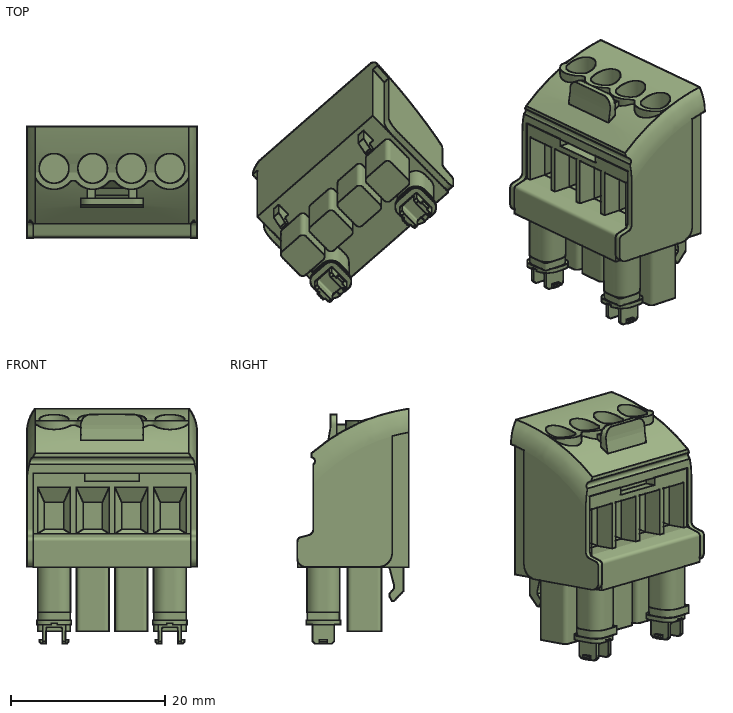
import cadquery as cq
import math


width = 22.1
pole_count = 4
pole_pitch = 5.0
pole_xs = [(i - (pole_count - 1) / 2) * pole_pitch for i in range(pole_count)]
outer_pole_xs = [pole_xs[0], pole_xs[-1]]

front_y = -14.47
wall_y = -12.4
ledge_face_y = -14.4
ledge_z = 4.37
ledge_nose_z = 3.82
ledge_round = 0.52
plate_thickness = 0.82
core_half = width / 2 - plate_thickness
plate_rear_y = -2.17
plate_rear_radius = 1.75
plate_front_radius = 1.07
plate_bottom_z = 0.1
plate_shoulder_z = ledge_z
plate_nose_z = ledge_nose_z
plate_shoulder_radius = 0.8
plate_nose_radius = 0.6

dome_y = 3.82
dome_radius = 25.28
housing_height = 20.6
dome_z = housing_height - math.sqrt(dome_radius**2 - dome_y**2)
dome_edge_drop = 3.05
dome_edge_inset = 1.07

lip_y = -12.65
lip_z = 14.32
groove_y = -11.78
groove_z = 13.85
groove_bottom_z = 13.37
groove_radius = 0.5

panel_depth = 0.15
panel_top_z = 12.2
notch_width = 7.08
notch_height = 1.05
notch_depth = 1.53
entry_width = 4.25
entry_bottom_z = ledge_z
entry_top_z = 10.38
entry_depth = 2.45
throat_width = 2.5
throat_bottom_z = 4.95
throat_top_z = 8.45
throat_depth = 0.9

well_y = -5.43
well_radius = 1.92
well_floor_z = 17.1
collar_radius = 2.72
collar_base_z = 15.25
collar_top_z = 19.05
collar_ramp_y = -4.85
collar_flat_y = -5.98
crease_radius = 0.6

lever_width = 8.05
lever_rear_y = -9.3
lever_front_y = -10.17
lever_step_y = -10.2
lever_base_y = -10.5
lever_base_z = 16.18
lever_step_z = 17.98
lever_shoulder_z = 18.5
lever_top_z = 19.85
lever_corner = 1.28
rib_inner_x = 2.2
rib_width = 1.0
rib_z = 18.55

pocket_rear_y = -6.78
pocket_toe_y = -8.03
pocket_front_y = -8.95
pocket_toe_z = 16.18
pocket_front_z = 15.72

socket_y = -5.75
socket_length = 4.45
socket_width = 4.25
socket_height = 8.27
socket_round = 0.58

post_y = -11.08
post_width = 4.27
post_round = 1.6
post_height = 5.83
neck_width = 4.2
neck_key_round = 0.25
flange_top_z = -6.85
flange_bottom_z = -7.42
flange_width = 4.5
flange_round = 1.22
flange_key_round = 1.98
flange_notch_width = 0.8
flange_notch_z = -7.2
clip_web = 0.3
clip_inner = 1.05
clip_outer = 1.5
clip_width = 2.87
clip_corner = 0.37
clip_fillet = 0.25
clip_bottom_z = -9.92
barb_reach = 0.4
barb_width = 1.07
barb_top_z = -9.35
barb_tip_z = -9.62
barb_root = 0.15

hook_width = 0.92
hook_back_y = -0.67
hook_notch_y = -1.92
hook_front_y = -2.53
hook_tip_z = -4.37
hook_tip_flat = 0.27
hook_heel_z = -3.05
hook_barb_low_z = -3.72
hook_barb_high_z = -3.42
hook_notch_low_z = -2.72
hook_notch_high_z = -2.32


def block(x0, x1, y0, y1, z0, z1):
    """Box between two opposite corners."""
    return cq.Workplane("XY").box(x1 - x0, y1 - y0, z1 - z0, centered=False).translate((x0, y0, z0))


def side_prism(outline, x0, x1):
    """Extrude a closed (y, z) outline from x0 to x1."""
    return cq.Workplane("YZ", origin=(x0, 0, 0)).polyline(outline).close().extrude(x1 - x0)


def round_edge(body, y, z, radius):
    """Fillet the edge along X that passes through (y, z)."""
    return body.edges(cq.selectors.NearestToPointSelector((0, y, z))).fillet(radius)


def dome_height(y):
    return dome_z + math.sqrt(dome_radius**2 - (y - dome_y)**2)


def drum(radius, half_width, edge_drop=0, edge_inset=0):
    """Solid of revolution about the dome axis, optionally with rounded rims."""
    outline = cq.Workplane("XY").moveTo(-half_width, 0).lineTo(-half_width, radius - edge_drop)
    if edge_drop:
        rim_radius = (edge_drop**2 + edge_inset**2) / (2 * edge_inset)
        half_angle = math.asin(edge_drop / rim_radius) / 2
        mid_x = half_width - rim_radius * (1 - math.cos(half_angle))
        mid_r = radius - edge_drop + rim_radius * math.sin(half_angle)
        shoulder_x = half_width - edge_inset
        outline = outline.threePointArc((-mid_x, mid_r), (-shoulder_x, radius)).lineTo(shoulder_x, radius)
        outline = outline.threePointArc((mid_x, mid_r), (half_width, radius - edge_drop))
    else:
        outline = outline.lineTo(half_width, radius)
    outline = outline.lineTo(half_width, 0).close()
    return outline.revolve(360, (0, 0), (1, 0)).translate((0, dome_y, dome_z))


above_dome_z = housing_height + 0.3
upper_front = [
    (wall_y, groove_bottom_z),
    (groove_y, groove_z),
    (lip_y, lip_z),
    (lip_y, above_dome_z),
]


def make_core():
    outline = [
        (0, 0),
        (ledge_face_y, 0),
        (ledge_face_y, ledge_nose_z),
        (wall_y, ledge_z),
        *upper_front,
        (0, above_dome_z),
    ]
    core = side_prism(outline, -core_half, core_half)
    core = round_edge(core, ledge_face_y, ledge_nose_z, ledge_round)
    return round_edge(core, groove_y, groove_z, groove_radius)


def make_plates():
    """The two side plates, shaped as one full-width bar that is then hollowed between them."""
    outline = [
        (plate_rear_y, plate_bottom_z),
        (front_y, plate_bottom_z),
        (front_y, plate_nose_z),
        (wall_y, plate_shoulder_z),
        *upper_front,
        (plate_rear_y, above_dome_z),
    ]
    plates = side_prism(outline, -width / 2, width / 2)
    plates = round_edge(plates, plate_rear_y, plate_bottom_z, plate_rear_radius)
    plates = round_edge(plates, front_y, plate_bottom_z, plate_front_radius)
    plates = round_edge(plates, front_y, plate_nose_z, plate_nose_radius)
    plates = round_edge(plates, wall_y, plate_shoulder_z, plate_shoulder_radius)
    plates = round_edge(plates, groove_y, groove_z, groove_radius)
    return plates.cut(block(-core_half, core_half, front_y, 0, 0, above_dome_z))


def make_rear_caps():
    """Band under the dome that carries its rounded rim back to the rear face."""
    strip = block(-width / 2, width / 2, plate_rear_y, 0, 0, above_dome_z)
    return strip.cut(drum(dome_radius - dome_edge_drop, width))


def make_housing():
    dome = drum(dome_radius, width / 2, dome_edge_drop, dome_edge_inset)
    return make_core().union(make_plates()).union(make_rear_caps()).intersect(dome)


def cut_front(body):
    panel_y = wall_y + panel_depth
    body = body.cut(block(-core_half, core_half, wall_y, panel_y, ledge_z, panel_top_z))
    body = body.cut(block(-notch_width / 2, notch_width / 2, wall_y, wall_y + notch_depth,
                          panel_top_z - notch_height, panel_top_z))
    throat_y = panel_y + entry_depth
    entry_z = (entry_top_z + entry_bottom_z) / 2
    throat_z = (throat_top_z + throat_bottom_z) / 2
    for x in pole_xs:
        body = body.cut(block(x - entry_width / 2, x + entry_width / 2, wall_y, throat_y,
                              entry_bottom_z, entry_top_z))
        throat = (
            cq.Workplane("XZ", origin=(x, throat_y, entry_z))
            .rect(entry_width, entry_top_z - entry_bottom_z)
            .workplane(offset=-throat_depth)
            .center(0, throat_z - entry_z)
            .rect(throat_width, throat_top_z - throat_bottom_z)
            .loft(ruled=True)
        )
        body = body.cut(throat)
    return body


def add_collars(body):
    collar_height = collar_top_z - collar_base_z
    collars = cq.Workplane("XY")
    for x in pole_xs:
        collar = cq.Workplane("XY", origin=(x, well_y, collar_base_z)).circle(collar_radius)
        collars = collars.union(collar.extrude(collar_height))
    crease_y = well_y - math.sqrt(collar_radius**2 - (pole_pitch / 2)**2)
    for x in pole_xs[:-1]:
        crease = (x + pole_pitch / 2, crease_y, collar_base_z + collar_height / 2)
        collars = collars.edges(cq.selectors.NearestToPointSelector(crease)).fillet(crease_radius)
    shoulder = width / 2 - dome_edge_inset
    ramp = side_prism(
        [
            (collar_ramp_y, collar_base_z),
            (collar_ramp_y, dome_height(collar_ramp_y)),
            (collar_flat_y, collar_top_z),
            (collar_flat_y, collar_base_z),
        ],
        -shoulder,
        shoulder,
    )
    collars = collars.intersect(block(-shoulder, shoulder, front_y, 0, 0, above_dome_z))
    return body.union(collars).union(ramp)


def cut_wells(body):
    for x in pole_xs:
        well = cq.Workplane("XY", origin=(x, well_y, well_floor_z)).circle(well_radius)
        body = body.cut(well.extrude(above_dome_z - well_floor_z))
    return body


def add_lever(body):
    outline = [
        (lever_rear_y, lever_base_z),
        (lever_base_y, lever_base_z),
        (lever_step_y, lever_step_z),
        (lever_front_y, lever_shoulder_z),
        (lever_front_y, lever_top_z),
        (lever_rear_y, lever_top_z),
    ]
    lever = side_prism(outline, -lever_width / 2, lever_width / 2)
    lever = lever.edges("|Y and >Z").fillet(lever_corner)
    body = body.union(lever)
    for x in (-rib_inner_x - rib_width, rib_inner_x):
        body = body.union(block(x, x + rib_width, lever_rear_y, well_y - well_radius, lever_base_z, rib_z))
    pocket = side_prism(
        [
            (pocket_rear_y, dome_height(pocket_rear_y)),
            (pocket_toe_y, pocket_toe_z),
            (pocket_front_y, pocket_front_z),
            (pocket_front_y, dome_height(pocket_rear_y)),
        ],
        -rib_inner_x,
        rib_inner_x,
    )
    return body.cut(pocket)


def make_socket(x):
    socket = block(x - socket_width / 2, x + socket_width / 2, socket_y - socket_length / 2,
                   socket_y + socket_length / 2, -socket_height, 0)
    return socket.edges("|Z").fillet(socket_round)


def rounded_square(size, z_top, z_bottom, corner_round, key_round):
    """Upright square bar centred on the Z axis, with its own radius on the +X -Y corner."""
    half = size / 2
    bar = block(-half, half, -half, half, z_bottom, z_top)
    bar = bar.edges("|Z and (<X or >Y)").fillet(corner_round)
    key_corner = cq.selectors.NearestToPointSelector((half, -half, (z_top + z_bottom) / 2))
    return bar.edges(key_corner).fillet(key_round)


def make_clip():
    half = clip_width / 2
    web_z = flange_bottom_z - clip_web
    clip = block(-clip_outer, clip_outer, -half, half, clip_bottom_z, flange_bottom_z)
    clip = clip.edges("|X and <Z").chamfer(clip_corner)
    gap = block(-clip_inner, clip_inner, -half, half, clip_bottom_z, web_z)
    clip = clip.cut(gap.edges("|Y and >Z").fillet(clip_fillet))
    barb_outline = [
        (clip_inner, barb_top_z),
        (clip_outer + barb_reach, barb_top_z),
        (clip_outer + barb_reach, barb_tip_z),
        (clip_outer + barb_root, clip_bottom_z),
        (clip_inner, clip_bottom_z),
    ]
    barb = cq.Workplane("XZ", origin=(0, barb_width / 2, 0)).polyline(barb_outline).close()
    barb = barb.extrude(barb_width)
    return clip.union(barb).union(barb.mirror("YZ"))


def make_post(x):
    post = rounded_square(post_width, 0, -post_height, post_round, post_round)
    neck = rounded_square(neck_width, -post_height, flange_top_z, post_round, neck_key_round)
    flange = rounded_square(flange_width, flange_top_z, flange_bottom_z, flange_round, flange_key_round)
    notch = block(-flange_notch_width / 2, flange_notch_width / 2, -flange_width / 2, -clip_width / 2,
                  flange_bottom_z, flange_notch_z)
    post = post.union(neck).union(flange.cut(notch)).union(make_clip())
    return post.translate((x, post_y, 0))


def make_hook(x):
    outline = [
        (hook_back_y, 0),
        (hook_back_y, hook_heel_z),
        (hook_notch_y, hook_tip_z),
        (hook_notch_y - hook_tip_flat, hook_tip_z),
        (hook_front_y, hook_barb_low_z),
        (hook_front_y, hook_barb_high_z),
        (hook_notch_y, hook_notch_low_z),
        (hook_notch_y, hook_notch_high_z),
        (hook_front_y, 0),
    ]
    return side_prism(outline, x - hook_width / 2, x + hook_width / 2)


result = cut_front(make_housing())
result = add_lever(result)
result = add_collars(result)
result = cut_wells(result)
for pole_x in pole_xs:
    result = result.union(make_socket(pole_x))
for pole_x in outer_pole_xs:
    result = result.union(make_post(pole_x)).union(make_hook(pole_x))